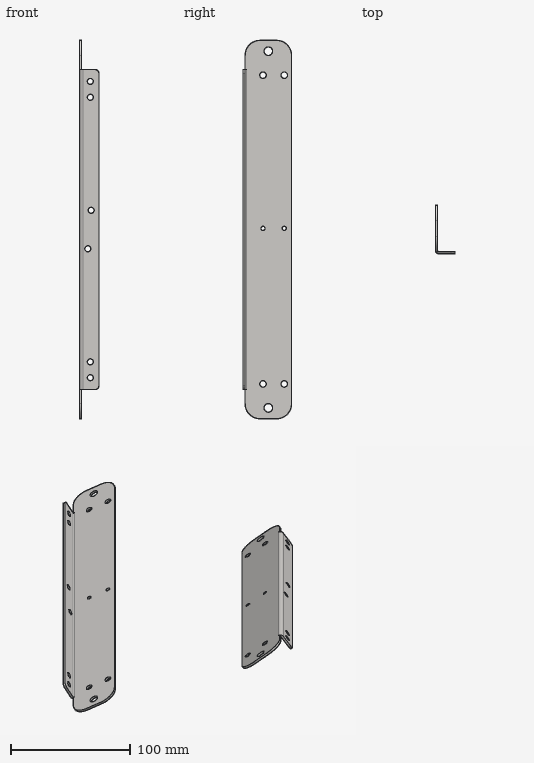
import cadquery as cq

THICKNESS = 1.9
INNER_BEND_RADIUS = 1.0
OUTER_BEND_RADIUS = INNER_BEND_RADIUS + THICKNESS
OVERALL_X = 16.4
OVERALL_Y = 40.9
PLATE_LENGTH = 317.2
FLANGE_LENGTH = 268.2

PLATE_EDGE_SETBACK = 1.8
PLATE_WIDTH = OVERALL_Y - PLATE_EDGE_SETBACK
PLATE_CORNER_RADIUS = 12.7
FLANGE_CORNER_RADIUS = 3.4

MOUNT_HOLE_DIAMETER = 7.0
MOUNT_HOLE_END_DISTANCE = 9.2
OUTER_HOLE_DIAMETER = 5.2
OUTER_HOLE_Z = 129.3
CENTER_HOLE_DIAMETER = 3.3
CENTER_HOLE_Z = 1.0
HOLE_COLUMN_SPACING = 17.8
FIRST_COLUMN_EDGE_DISTANCE = 6.2

FLANGE_HOLE_DIAMETER = 4.8
FLANGE_PAIR_X = 9.1
FLANGE_PAIR_END_DISTANCE = 10.0
FLANGE_PAIR_SPACING = 13.3
MIDDLE_HOLE_Z = 16.1
UPPER_MIDDLE_HOLE_X = 9.8
LOWER_MIDDLE_HOLE_X = 7.0


def make_plate():
    """Flat plate with rounded ends, its near edge cleared where the bend takes over."""
    plate = cq.Workplane("XY").box(THICKNESS, PLATE_WIDTH, PLATE_LENGTH, centered=(False, False, True))
    plate = plate.edges("|X").fillet(PLATE_CORNER_RADIUS)
    plate = plate.translate((0, PLATE_EDGE_SETBACK, 0))
    bend_clearance = cq.Workplane("XY").box(
        THICKNESS, OUTER_BEND_RADIUS, FLANGE_LENGTH, centered=(False, False, True)
    )
    return plate.cut(bend_clearance)


def make_bent_strip():
    """L-shaped strip: the flange, the bend, and the plate beside them."""
    strip = (
        cq.Workplane("XY")
        .workplane(offset=-FLANGE_LENGTH / 2)
        .moveTo(0, OVERALL_Y)
        .lineTo(0, OUTER_BEND_RADIUS)
        .radiusArc((OUTER_BEND_RADIUS, 0), -OUTER_BEND_RADIUS)
        .lineTo(OVERALL_X, 0)
        .lineTo(OVERALL_X, THICKNESS)
        .lineTo(OUTER_BEND_RADIUS, THICKNESS)
        .radiusArc((THICKNESS, OUTER_BEND_RADIUS), INNER_BEND_RADIUS)
        .lineTo(THICKNESS, OVERALL_Y)
        .close()
        .extrude(FLANGE_LENGTH)
    )
    return strip.edges("|Y and >X").fillet(FLANGE_CORNER_RADIUS)


def plate_drill(diameter, points):
    """Cylinders along X through the plate at (y, z) points."""
    return cq.Workplane("YZ").pushPoints(points).circle(diameter / 2).extrude(THICKNESS)


def flange_drill(diameter, points):
    """Cylinders along Y through the flange at (x, z) points."""
    return cq.Workplane("XZ").pushPoints(points).circle(diameter / 2).extrude(-THICKNESS)


def drill_plate(body):
    middle_y = PLATE_EDGE_SETBACK + PLATE_WIDTH / 2
    mount_z = PLATE_LENGTH / 2 - MOUNT_HOLE_END_DISTANCE
    first_column_y = OVERALL_Y - FIRST_COLUMN_EDGE_DISTANCE
    columns = (first_column_y, first_column_y - HOLE_COLUMN_SPACING)

    mount_points = [(middle_y, side * mount_z) for side in (-1, 1)]
    outer_points = [(y, side * OUTER_HOLE_Z) for y in columns for side in (-1, 1)]
    center_points = [(y, CENTER_HOLE_Z) for y in columns]

    body = body.cut(plate_drill(MOUNT_HOLE_DIAMETER, mount_points))
    body = body.cut(plate_drill(OUTER_HOLE_DIAMETER, outer_points))
    return body.cut(plate_drill(CENTER_HOLE_DIAMETER, center_points))


def drill_flange(body):
    end_z = FLANGE_LENGTH / 2 - FLANGE_PAIR_END_DISTANCE
    pair_heights = (end_z, end_z - FLANGE_PAIR_SPACING)
    points = [(FLANGE_PAIR_X, side * z) for z in pair_heights for side in (-1, 1)]
    points.append((UPPER_MIDDLE_HOLE_X, MIDDLE_HOLE_Z))
    points.append((LOWER_MIDDLE_HOLE_X, -MIDDLE_HOLE_Z))
    return body.cut(flange_drill(FLANGE_HOLE_DIAMETER, points))


bracket = make_plate().union(make_bent_strip()).clean()
bracket = drill_plate(bracket)
result = drill_flange(bracket)